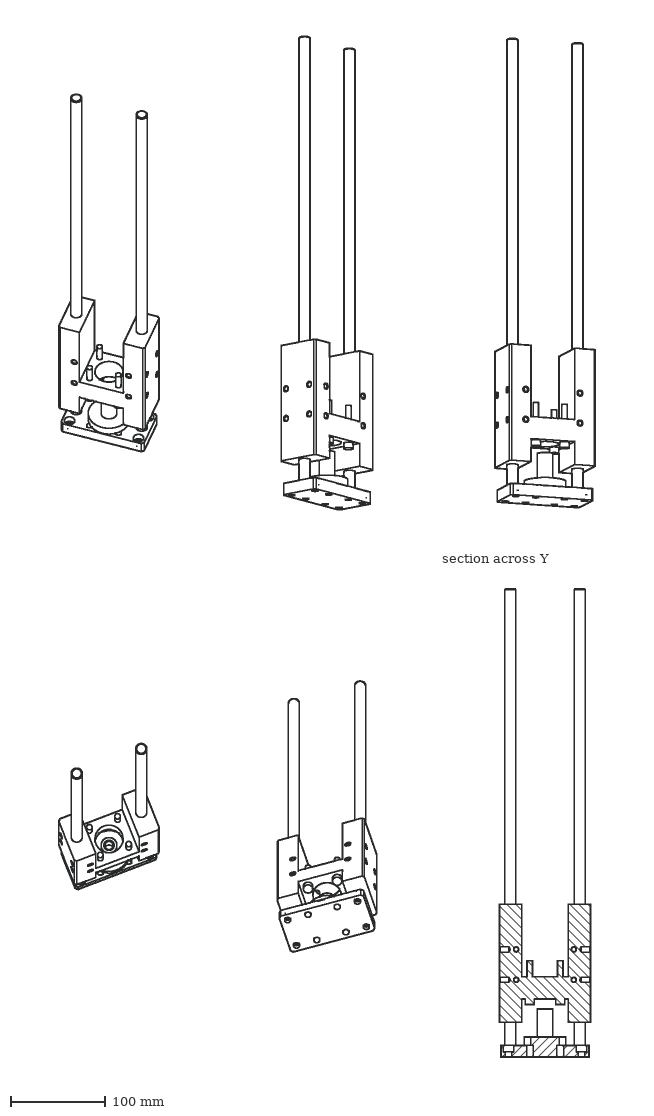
import cadquery as cq
import math

bolt_pitch = 32.5

total_height = 497.0
rod_diameter = 12.0
rod_spacing = 73.5
rod_chamfer = 1.0

plate_width = 93.5
plate_depth = 45.5
plate_thickness = 12.5
plate_corner = 2.5
plate_hole_spacing = 77.5
plate_hole_diameter = 6.5
counterbore_diameter = 11.0
counterbore_depth = 7.0
flange_hole_diameter = 6.5

flange_diameter = 44.0
flange_top = 21.5
stud_diameter = 17.0
stud_top = 51.0
stud_bore_diameter = 9.0
stud_mouth_diameter = 11.0
stud_bore_depth = 20.0

housing_width = 97.0
housing_depth = 49.0
housing_bottom = 37.0
housing_height = 125.5
housing_top = housing_bottom + housing_height
housing_corner = 2.0
housing_gap = 49.0
bridge_bottom = 61.5
bridge_top = 85.5
bridge_bore_diameter = 30.0

mount_hole_diameter = 5.0
mount_mouth_diameter = 6.5
mount_hole_depth = 10.0
mount_hole_low = 82.0
front_hole_spacing = 61.0

screw_diameter = 6.0
screw_top = 102.5
head_diameter = 10.0
head_bottom = 55.5

drill_angle = 118.0


def cylinder(diameter, bottom, top, x=0.0, y=0.0):
    """Upright cylinder between two heights."""
    return cq.Workplane("XY", origin=(x, y, bottom)).circle(diameter / 2).extrude(top - bottom)


def block(width, depth, bottom, top):
    """Upright block centred on the Z axis."""
    return cq.Workplane("XY", origin=(0, 0, bottom)).rect(width, depth).extrude(top - bottom)


def rod_places():
    """Centres of the two guide rods."""
    return [(side * rod_spacing / 2, 0.0) for side in (-1, 1)]


def grid_places(spacing_x, spacing_y):
    """Corners of a rectangle centred on the Z axis."""
    return [(i * spacing_x / 2, j * spacing_y / 2) for i in (-1, 1) for j in (-1, 1)]


def drill_point(diameter):
    """Height of the cone that a drill leaves at the bottom of a hole."""
    return diameter / 2 / math.tan(math.radians(drill_angle / 2))


def blind_hole(diameter, mouth_diameter, depth, point, start, direction):
    """Cutter for a blind hole with a countersunk mouth; a zero point gives a flat floor."""
    radius = diameter / 2
    mouth_radius = mouth_diameter / 2
    sink = mouth_radius - radius
    profile = [(0, 0), (mouth_radius, 0), (radius, sink), (radius, depth), (0, depth + point)]
    across = cq.Vector(direction.y, direction.z, direction.x)
    plane = cq.Plane(origin=start, xDir=across, normal=across.cross(direction))
    return cq.Workplane(plane).polyline(profile).close().revolve(360, (0, 0), (0, 1))


def mount_hole(point, start, direction):
    """Cutter for one mounting hole of the housing."""
    return blind_hole(mount_hole_diameter, mount_mouth_diameter, mount_hole_depth, point, start, direction)


def make_plate():
    """End plate with counterbored corner holes and four holes partly covered by the flange."""
    plate = block(plate_width, plate_depth, 0, plate_thickness).edges("|Z").chamfer(plate_corner)
    counterbore_floor = plate_thickness - counterbore_depth
    for x, y in grid_places(plate_hole_spacing, bolt_pitch):
        plate = plate.cut(cylinder(plate_hole_diameter, 0, plate_thickness, x, y))
        plate = plate.cut(cylinder(counterbore_diameter, counterbore_floor, plate_thickness, x, y))
    for x, y in grid_places(bolt_pitch, bolt_pitch):
        plate = plate.cut(cylinder(flange_hole_diameter, 0, plate_thickness, x, y))
    return plate


def make_slide():
    """End plate, flange, stud and the two guide rods as one moving body."""
    slide = make_plate()
    slide = slide.union(cylinder(flange_diameter, plate_thickness, flange_top))
    slide = slide.union(cylinder(stud_diameter, flange_top, stud_top))
    stud_mouth = cq.Vector(0, 0, stud_top)
    downward = cq.Vector(0, 0, -1)
    stud_bore = blind_hole(stud_bore_diameter, stud_mouth_diameter, stud_bore_depth,
                           drill_point(stud_bore_diameter), stud_mouth, downward)
    slide = slide.cut(stud_bore)
    for x, y in rod_places():
        rod = cylinder(rod_diameter, plate_thickness, total_height, x, y)
        slide = slide.union(rod.faces(">Z").chamfer(rod_chamfer))
    return slide


def make_housing_block():
    """H-shaped block with the bridge bore and the two rod bores."""
    body = block(housing_width, housing_depth, housing_bottom, housing_top)
    body = body.edges("|Z").chamfer(housing_corner)
    body = body.cut(block(housing_gap, housing_depth, housing_bottom, bridge_bottom))
    body = body.cut(block(housing_gap, housing_depth, bridge_top, housing_top))
    body = body.cut(cylinder(bridge_bore_diameter, bridge_bottom, bridge_top))
    for x, y in rod_places():
        body = body.cut(cylinder(rod_diameter, housing_bottom, housing_top, x, y))
    return body


def cut_mount_holes(body):
    """Flat-floored holes in the front and back faces, drill-pointed holes in the side faces."""
    side_point = drill_point(mount_hole_diameter)
    for z in (mount_hole_low, mount_hole_low + bolt_pitch):
        for x, y in grid_places(front_hole_spacing, housing_depth):
            inward = cq.Vector(0, -math.copysign(1, y), 0)
            body = body.cut(mount_hole(0, cq.Vector(x, y, z), inward))
        for x, y in grid_places(housing_width, bolt_pitch):
            inward = cq.Vector(-math.copysign(1, x), 0, 0)
            body = body.cut(mount_hole(side_point, cq.Vector(x, y, z), inward))
    return body


def make_housing():
    """Guide housing with the four screws fixed in its bridge."""
    housing = cut_mount_holes(make_housing_block())
    for x, y in grid_places(bolt_pitch, bolt_pitch):
        housing = housing.union(cylinder(screw_diameter, bridge_top, screw_top, x, y))
        housing = housing.union(cylinder(head_diameter, head_bottom, bridge_bottom, x, y))
    return housing


slide = make_slide()
housing = make_housing()
result = cq.Compound.makeCompound([slide.solids().val(), housing.solids().val()])